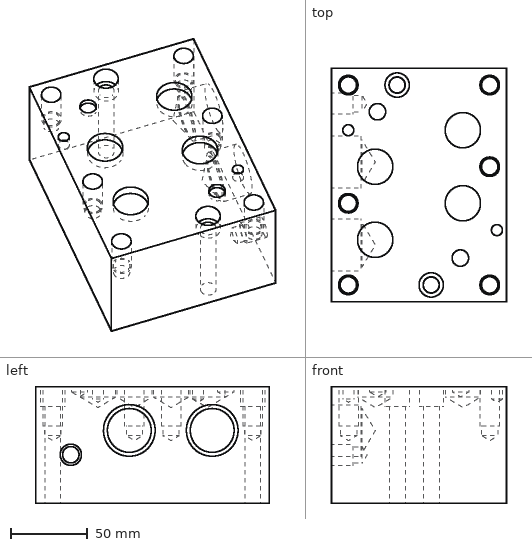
import cadquery as cq
import math

LENGTH_X = 114.3
LENGTH_Y = 152.4
HEIGHT = 76.2

POINT_ANGLE = 118.0

BOLT_EDGE = 11.1
BOLT_X_SPACING = 92.1
BOLT_Y_OFFSETS_LEFT = (0.0, 53.2, 130.2)
BOLT_Y_OFFSETS_RIGHT = (0.0, 77.0, 130.2)
BOLT_THREAD_DIAMETER = 12.7
BOLT_DRILL_DIAMETER = 10.72
BOLT_THREAD_DEPTH = 25.4
BOLT_DRILL_DEPTH = 31.8

PASSAGE_OFFSETS = ((17.5, 29.4), (17.5, 77.0), (74.6, 53.2), (74.6, 100.8))
PASSAGE_DIAMETER = 23.01
PASSAGE_DEPTH = 6.7

PILOT_OFFSETS = ((19.0, 112.8), (73.0, 17.5))
PILOT_DIAMETER = 10.72
PILOT_DEPTH = 3.3

PIN_OFFSETS = ((0.0, 100.8), (96.8, 35.7))
PIN_DIAMETER = 7.14
PIN_DEPTH = 8.0

MOUNT_POSITIONS = ((42.9, 141.3), (65.1, 11.1))
MOUNT_DIAMETER = 10.31
MOUNT_BORE_DIAMETER = 15.88
MOUNT_BORE_DEPTH = 13.0

PORT_POSITIONS = ((37.3, 47.6), (91.3, 47.6))
PORT_DIAMETER = 33.71
PORT_DEPTH = 19.05
PORT_DRILL_DIAMETER = 28.57
PORT_DRILL_DEPTH = 20.0

PILOT_PORT_POSITION = (129.4, 31.75)
PILOT_PORT_DIAMETER = 13.87
PILOT_PORT_DEPTH = 14.0
PILOT_PORT_DRILL_DIAMETER = 10.72
PILOT_PORT_DRILL_DEPTH = 20.0

DOWN = cq.Vector(0, 0, -1)
INWARD = cq.Vector(1, 0, 0)


def bore(start, direction, diameter, depth):
    """Flat-bottomed cylinder from start along direction."""
    return cq.Solid.makeCylinder(diameter / 2, depth, start, direction)


def drilled(start, direction, diameter, depth):
    """Cylinder of the given depth that ends in a conical drill point."""
    radius = diameter / 2
    point_length = radius / math.tan(math.radians(POINT_ANGLE / 2))
    cone = cq.Solid.makeCone(radius, 0, point_length, start + direction * depth, direction)
    return bore(start, direction, diameter, depth).fuse(cone)


def stepped(start, direction, wide_diameter, wide_depth, drill_diameter, drill_depth):
    """Wide flat-bottomed bore with a narrower drilled hole continuing below it."""
    drill = drilled(start, direction, drill_diameter, drill_depth)
    return bore(start, direction, wide_diameter, wide_depth).fuse(drill)


def on_top(x, y):
    """Point on the valve face."""
    return cq.Vector(x, y, HEIGHT)


def on_pattern(offset_x, offset_y):
    """Point on the valve face, measured from the lower left bolt."""
    return on_top(BOLT_EDGE + offset_x, BOLT_EDGE + offset_y)


def on_left(y, z):
    """Point on the -X port face."""
    return cq.Vector(0, y, z)


def bolt_holes():
    offsets = [(0.0, y) for y in BOLT_Y_OFFSETS_LEFT]
    offsets += [(BOLT_X_SPACING, y) for y in BOLT_Y_OFFSETS_RIGHT]
    return [
        stepped(on_pattern(*offset), DOWN, BOLT_THREAD_DIAMETER, BOLT_THREAD_DEPTH,
                BOLT_DRILL_DIAMETER, BOLT_DRILL_DEPTH)
        for offset in offsets
    ]


def pattern_holes(offsets, diameter, depth):
    return [drilled(on_pattern(*offset), DOWN, diameter, depth) for offset in offsets]


def mounting_holes():
    holes = []
    for position in MOUNT_POSITIONS:
        start = on_top(*position)
        through = bore(start, DOWN, MOUNT_DIAMETER, HEIGHT)
        holes.append(bore(start, DOWN, MOUNT_BORE_DIAMETER, MOUNT_BORE_DEPTH).fuse(through))
    return holes


def side_ports():
    ports = [
        stepped(on_left(*position), INWARD, PORT_DIAMETER, PORT_DEPTH,
                PORT_DRILL_DIAMETER, PORT_DRILL_DEPTH)
        for position in PORT_POSITIONS
    ]
    pilot_port = stepped(on_left(*PILOT_PORT_POSITION), INWARD, PILOT_PORT_DIAMETER, PILOT_PORT_DEPTH,
                         PILOT_PORT_DRILL_DIAMETER, PILOT_PORT_DRILL_DEPTH)
    return ports + [pilot_port]


holes = bolt_holes()
holes += pattern_holes(PASSAGE_OFFSETS, PASSAGE_DIAMETER, PASSAGE_DEPTH)
holes += pattern_holes(PILOT_OFFSETS, PILOT_DIAMETER, PILOT_DEPTH)
holes += pattern_holes(PIN_OFFSETS, PIN_DIAMETER, PIN_DEPTH)
holes += mounting_holes()
holes += side_ports()

block = cq.Workplane("XY").box(LENGTH_X, LENGTH_Y, HEIGHT, centered=False)
for hole in holes:
    block = block.cut(hole)

result = block